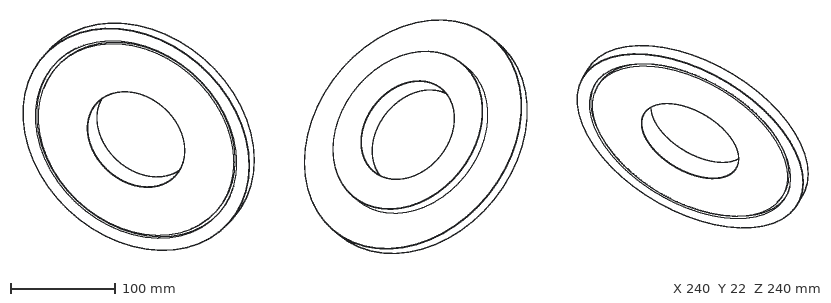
import cadquery as cq

flange_diameter = 240.0
flange_thickness = 12.0
hub_diameter = 165.5
overall_thickness = 22.0
bore_diameter = 102.5
edge_chamfer = 0.5

groove_outer_diameter = 213.0
groove_inner_diameter = 207.0
groove_depth = 3.0



def disc(diameter, thickness):
    """Solid disc from the flange face towards +Y."""
    return cq.Workplane("XZ").circle(diameter / 2).extrude(-thickness)


flange = disc(flange_diameter, flange_thickness).edges().chamfer(edge_chamfer)
hub = disc(hub_diameter, overall_thickness).faces(">Y").edges().chamfer(edge_chamfer)

bore = disc(bore_diameter, overall_thickness)
body = flange.union(hub).cut(bore)
bore_rims = cq.selectors.RadiusNthSelector(0)
body = body.edges(bore_rims).chamfer(edge_chamfer)

groove = disc(groove_outer_diameter, groove_depth).cut(disc(groove_inner_diameter, groove_depth))

result = body.cut(groove)